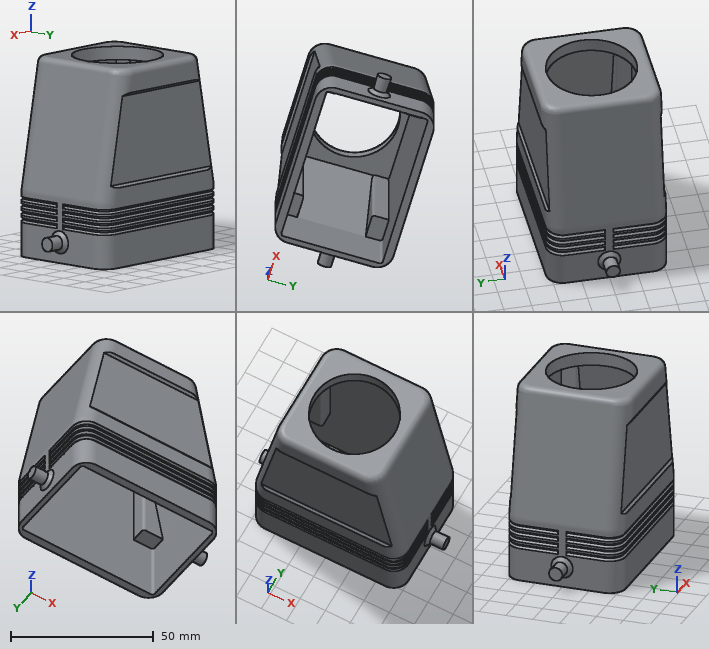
import cadquery as cq

skirt_length = 60.0
body_width = 43.0
body_height = 70.0
bend_height = 23.4
top_length = 42.05
corner_radius = 6.0
top_radius = 2.5
end_slope = (skirt_length - top_length) / 2 / (body_height - bend_height)

cable_hole_diameter = 32.0
roof_thickness = 4.75
end_wall = 2.0
side_wall = 3.0
cavity_width = body_width - 2 * side_wall
cavity_height = body_height - roof_thickness
cavity_corner_radius = 1.0

post_inner_x = 19.7
post_inner_y = 12.5
post_radius = 1.0

recess_depth = 0.95
recess_bottom = 28.55
recess_top = 61.55

groove_count = 4
groove_pitch = 2.5
groove_height = 1.6
groove_flank_angle = 45
groove_depth = groove_height / 2
groove_start = 12.2
groove_gap = 3.0

pin_span = 73.0
pin_diameter = 5.0
pin_height = 7.45
collar_diameter = 8.0
collar_length = 1.3

clearance = 0.7


def end_profile(inset, height):
    """XZ outline of the housing with its X sides moved inward by inset, cut off at height."""
    lower = skirt_length / 2 - inset
    upper = lower - end_slope * (height - bend_height)
    right_side = [(lower, 0), (lower, bend_height), (upper, height)]
    left_side = [(-x, z) for x, z in reversed(right_side)]
    return cq.Workplane("XZ").polyline(right_side + left_side).close()


def bend_edges():
    """Selector for the two edges along Y where the X sides start to lean."""
    reach = skirt_length
    return cq.selectors.BoxSelector(
        (-reach, -reach, bend_height - clearance), (reach, reach, bend_height + clearance)
    )


def make_housing():
    block = end_profile(0, body_height).extrude(body_width / 2, both=True)
    block = block.edges("|Y").edges(bend_edges()).fillet(corner_radius)
    block = block.faces("<Y or >Y").edges("not(<Z or >Z)").fillet(corner_radius)
    return block.faces(">Z").edges().fillet(top_radius)


def make_cavity():
    cavity = end_profile(end_wall, cavity_height).extrude(cavity_width / 2, both=True)
    cavity = cavity.faces("<Y or >Y").edges("not(<Z or >Z)").fillet(cavity_corner_radius)
    post_length = skirt_length / 2 - post_inner_x
    post_width = body_width / 2 - post_inner_y
    for x_side in (-1, 1):
        for y_side in (-1, 1):
            post = (
                cq.Workplane("XY", origin=(0, 0, bend_height))
                .center(x_side * (post_inner_x + post_length / 2), y_side * (post_inner_y + post_width / 2))
                .rect(post_length, post_width)
                .extrude(body_height - bend_height)
                .edges("|Z")
                .fillet(post_radius)
            )
            cavity = cavity.cut(post)
    return cavity


def make_recess(y_side):
    """Label recess cutter running the full length of one Y side."""
    outer = y_side * body_width / 2
    floor = y_side * (body_width / 2 - recess_depth)
    outline = [
        (outer, recess_bottom),
        (floor, recess_bottom + recess_depth),
        (floor, recess_top - recess_depth),
        (outer, recess_top),
    ]
    return cq.Workplane("YZ").polyline(outline).close().extrude(skirt_length / 2, both=True)


def groove_core_half(apex_height, direction):
    """Half of the material left inside a V groove, widening away from the apex plane."""
    outline = (
        cq.Sketch()
        .rect(skirt_length - 2 * groove_depth, body_width - 2 * groove_depth)
        .vertices()
        .fillet(corner_radius - groove_depth)
    )
    half = cq.Workplane("XY").placeSketch(outline).extrude(groove_height / 2, taper=-groove_flank_angle)
    if direction < 0:
        half = half.mirror("XY")
    return half.translate((0, 0, apex_height))


def make_groove(bottom):
    apex = bottom + groove_height / 2
    band = (
        cq.Workplane("XY", origin=(0, 0, apex))
        .box(skirt_length + 2 * clearance, body_width + 2 * clearance, groove_height)
    )
    gap_bridge = (
        cq.Workplane("XY", origin=(0, 0, apex))
        .box(skirt_length + 4 * clearance, groove_gap, groove_height + clearance)
    )
    return band.cut(groove_core_half(apex, 1)).cut(groove_core_half(apex, -1)).cut(gap_bridge)


def make_pin(x_side):
    """Pin and collar, revolved about a line along X and rooted in the end wall."""
    root = skirt_length / 2 - end_wall / 2
    face = skirt_length / 2
    outline = [
        (x_side * root, 0),
        (x_side * root, collar_diameter / 2),
        (x_side * face, collar_diameter / 2),
        (x_side * (face + collar_length), pin_diameter / 2),
        (x_side * pin_span / 2, pin_diameter / 2),
        (x_side * pin_span / 2, 0),
    ]
    pin = cq.Workplane("XY").polyline(outline).close().revolve(360, (0, 0), (1, 0))
    return pin.translate((0, 0, pin_height))


result = make_housing()

for side in (-1, 1):
    result = result.cut(make_recess(side))

for index in range(groove_count):
    result = result.cut(make_groove(groove_start + index * groove_pitch))

result = result.cut(make_cavity())

cable_hole = (
    cq.Workplane("XY", origin=(0, 0, cavity_height - clearance))
    .circle(cable_hole_diameter / 2)
    .extrude(roof_thickness + 2 * clearance)
)
result = result.cut(cable_hole)

for side in (-1, 1):
    result = result.union(make_pin(side))